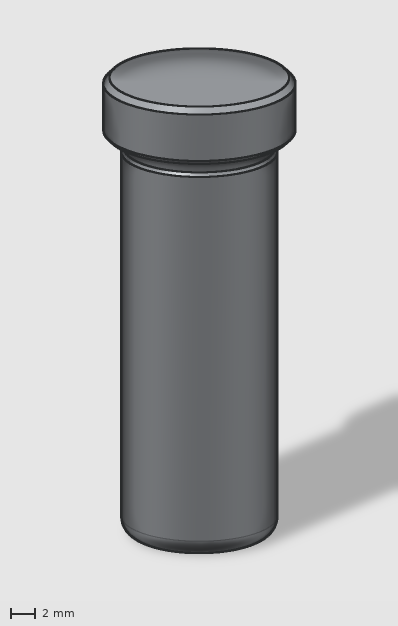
import cadquery as cq

total_length = 40.0

head_radius = 8.0
head_height = 5.0
head_top_chamfer = 0.5
head_bottom_chamfer = 0.4

neck_radius = 12.5 / 2
neck_height = 1.2

shank_radius = 13.0 / 2
shank_tip_fillet = 1.5
shoulder_height = 0.3

head_bottom = total_length - head_height
shank_top = head_bottom - neck_height
shoulder_width = shank_radius - neck_radius


def cylinder(radius, bottom, top):
    """Solid cylinder about the Z axis between two heights."""
    return cq.Workplane("XY").workplane(offset=bottom).circle(radius).extrude(top - bottom)


shank = (
    cylinder(shank_radius, 0, shank_top)
    .faces("<Z").edges().fillet(shank_tip_fillet)
    .faces(">Z").edges().chamfer(shoulder_height, shoulder_width)
)
neck = cylinder(neck_radius, shank_top, head_bottom)
head = (
    cylinder(head_radius, head_bottom, total_length)
    .faces(">Z").edges().chamfer(head_top_chamfer)
    .faces("<Z").edges().chamfer(head_bottom_chamfer)
)

result = shank.union(neck).union(head)